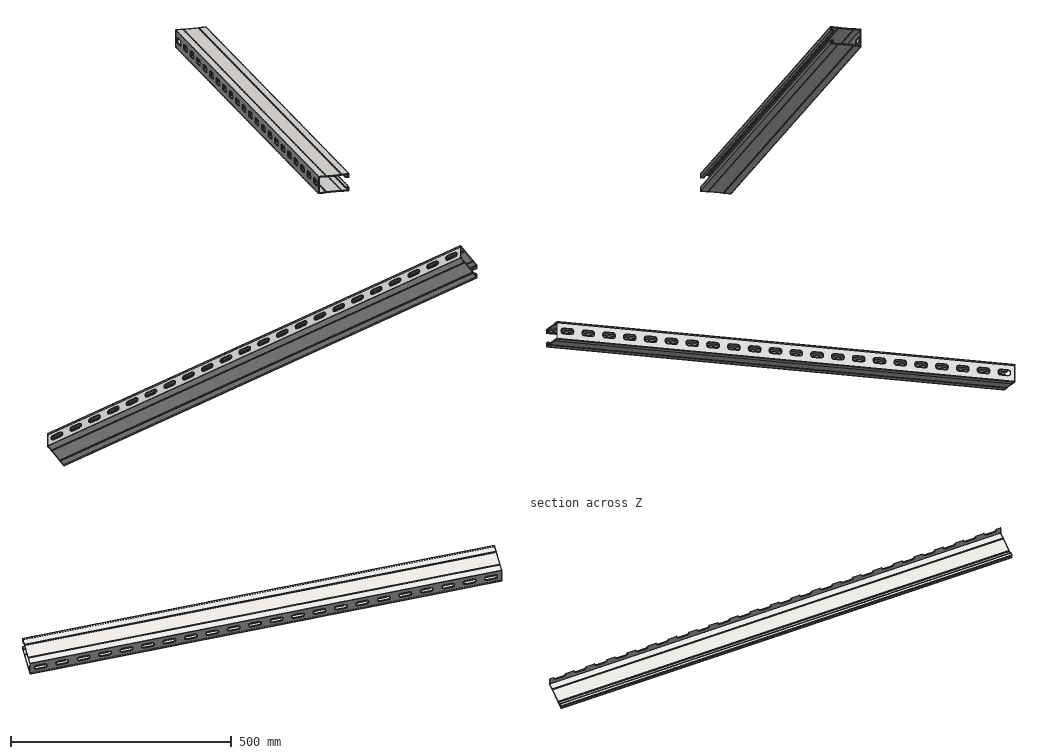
import cadquery as cq

length = 1100.0
depth = 72.01
height = 41.3
wall = 2.5

lip_opening = 22.3
lip_depth = 7.5

groove_depth = 0.6
groove_inset = 17.0
groove_slope_run = 1.65

slot_length = 30.0
slot_width = 13.5
slot_pitch = 50.0
slot_count = 22

web_face = -depth / 2
mouth = depth / 2
top = height / 2
lip_edge = lip_opening / 2


def upper_half_profile():
    """Upper half of the C section in the YZ plane, closed along Z = 0."""
    groove_start = web_face + groove_inset
    groove_end = mouth - groove_inset
    outer_flange = [
        (web_face, 0),
        (web_face, top),
        (groove_start, top),
        (groove_start + groove_slope_run, top - groove_depth),
        (groove_end - groove_slope_run, top - groove_depth),
        (groove_end, top),
        (mouth, top),
    ]
    lip = [
        (mouth, lip_edge),
        (mouth - lip_depth, lip_edge),
        (mouth - lip_depth, lip_edge + wall),
        (mouth - wall, lip_edge + wall),
        (mouth - wall, top - wall),
    ]
    inner_flange = [
        (groove_end, top - wall),
        (groove_end - groove_slope_run, top - groove_depth - wall),
        (groove_start + groove_slope_run, top - groove_depth - wall),
        (groove_start, top - wall),
        (web_face + wall, top - wall),
        (web_face + wall, 0),
    ]
    return outer_flange + lip + inner_flange


def channel():
    """Full C section, mirrored about Z = 0 and centred along X."""
    half = cq.Workplane("YZ").polyline(upper_half_profile()).close().extrude(length / 2, both=True)
    return half.union(half.mirror("XY")).clean()


def slot_cutters():
    """Row of lengthwise slots that pass through the web only."""
    return (
        cq.Workplane("XZ", origin=(0, web_face + wall, 0))
        .rarray(slot_pitch, 1, slot_count, 1)
        .slot2D(slot_length, slot_width)
        .extrude(wall)
    )


result = channel().cut(slot_cutters())